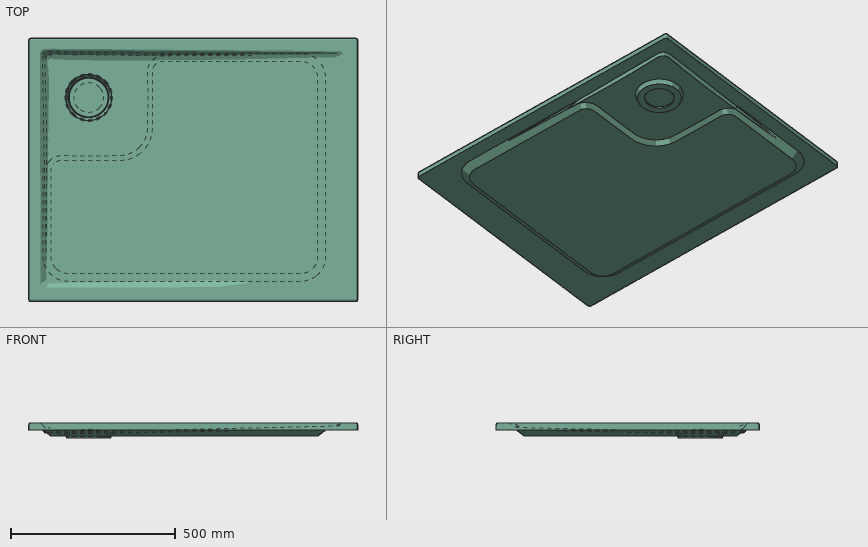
import cadquery as cq
import math


TRAY_LENGTH = 1000.29
TRAY_WIDTH = 800.36
RIM_HEIGHT = 22.5
RIM_EDGE_RADIUS = 8.0

DRAIN_TO_LEFT_EDGE = 182.5
DRAIN_TO_BACK_EDGE = 180.0
DRAIN_X = -TRAY_LENGTH / 2 + DRAIN_TO_LEFT_EDGE
DRAIN_Y = TRAY_WIDTH / 2 - DRAIN_TO_BACK_EDGE
OVERALL_HEIGHT = 47.0
DRAIN_HOLE_DIAMETER = 90.0
RECESS_TOP_DIAMETER = 140.0
RECESS_FLOOR_DIAMETER = 122.0
RECESS_FLOOR_THICKNESS = 5.0
FOOT_TOP_DIAMETER = 150.0
FOOT_BOTTOM_DIAMETER = 133.0

FLOOR_DEPTH_AT_DRAIN = 27.0
FLOOR_SLOPE = 0.0225
FLOOR_THICKNESS = 7.0
FLOOR_CONE_RADIUS = 1200.0
WALL_CORNER_RADIUS = 22.0
FLOOR_FILLET_RADIUS = 22.0
LIP_RADIUS = 8.0
BASIN_SHELL_MARGIN = 14.0
LOFT_DEPTH = 40.0

RIM_OUTER_BORDER = 20.0
FLOOR_SEAM_BORDER = 100.0

OPENING_CORNERS = [
    (-464.0, -360.5),
    (455.0, -356.5),
    (458.5, 358.5),
    (-464.0, 364.5),
]

FLOOR_LEFT = -444.0
FLOOR_RIGHT = 443.0
FLOOR_FRONT = -341.0
FLOOR_BACK = 346.0
FLOOR_CORNERS = [
    (FLOOR_LEFT, FLOOR_FRONT),
    (FLOOR_RIGHT, FLOOR_FRONT),
    (FLOOR_RIGHT, FLOOR_BACK),
    (FLOOR_LEFT, FLOOR_BACK),
]

COVER_DIAMETER = 118.0
COVER_EDGE_DEPTH = 27.0
COVER_CROWN_DEPTH = 20.0

BOARD_LEFT = -456.0
BOARD_RIGHT = 402.0
BOARD_FRONT = -338.0
BOARD_BACK = 354.0
BOARD_BOTTOM_DEPTH = 40.5
BOARD_SIDE_INSET = 24.0
BOARD_CORNER_RADIUS = 75.0
BOARD_NOTCH_X = -148.0
BOARD_NOTCH_Y = 53.0
BOARD_NOTCH_RADIUS = 55.0

recess_floor_z = RECESS_FLOOR_THICKNESS - OVERALL_HEIGHT
recess_rim_z = FLOOR_SLOPE * RECESS_TOP_DIAMETER / 2 - FLOOR_DEPTH_AT_DRAIN


def frustum(bottom_diameter, bottom_z, top_diameter, top_z):
    """Frustum on the drain axis."""
    profile = (
        cq.Workplane("XZ")
        .moveTo(0, bottom_z)
        .lineTo(bottom_diameter / 2, bottom_z)
        .lineTo(top_diameter / 2, top_z)
        .lineTo(0, top_z)
        .close()
    )
    return profile.revolve(360, (0, 0, 0), (0, 1, 0)).translate((DRAIN_X, DRAIN_Y, 0))


def space_above_floor(drain_depth):
    """Everything above a shallow cone that is `drain_depth` deep on the drain axis."""
    edge_z = FLOOR_CONE_RADIUS * FLOOR_SLOPE - drain_depth
    top_z = edge_z + LOFT_DEPTH
    profile = (
        cq.Workplane("YZ")
        .moveTo(0, -drain_depth)
        .lineTo(-FLOOR_CONE_RADIUS, edge_z)
        .lineTo(-FLOOR_CONE_RADIUS, top_z)
        .lineTo(0, top_z)
        .close()
    )
    return profile.revolve(360, (0, 0, 0), (0, 1, 0)).translate((DRAIN_X, DRAIN_Y, 0))


def floor_depth(x, y):
    """Depth of the conical floor below the rim top."""
    return FLOOR_DEPTH_AT_DRAIN - FLOOR_SLOPE * math.hypot(x - DRAIN_X, y - DRAIN_Y)


def moved_outwards(corners, margin):
    """Corners moved away from the tray centre by `margin` along both X and Y."""
    return [(x + math.copysign(margin, x), y + math.copysign(margin, y)) for x, y in corners]


def corners_at_loft_bottom():
    """The sloping corner lines from the opening to the floor, continued down to LOFT_DEPTH."""
    corners = []
    for (opening_x, opening_y), (floor_x, floor_y) in zip(OPENING_CORNERS, FLOOR_CORNERS):
        stretch = LOFT_DEPTH / floor_depth(floor_x, floor_y)
        x = opening_x + (floor_x - opening_x) * stretch
        y = opening_y + (floor_y - opening_y) * stretch
        corners.append((x, y))
    return corners


def basin_prism(margin, corner_radius):
    """Tapered block with the walls of the basin, `margin` outside them, with its top at z = 0."""
    prism = (
        cq.Workplane("XY")
        .workplane(offset=-LOFT_DEPTH)
        .polyline(moved_outwards(corners_at_loft_bottom(), margin))
        .close()
        .workplane(offset=LOFT_DEPTH)
        .polyline(moved_outwards(OPENING_CORNERS, margin))
        .close()
        .loft(ruled=True)
    )
    return prism.edges("not(<Z or >Z)").fillet(corner_radius)


def make_floor_shell():
    """Solid block down to the underside of the floor; the basin is cut out of it later."""
    floor_underside = space_above_floor(FLOOR_DEPTH_AT_DRAIN + FLOOR_THICKNESS)
    block = basin_prism(BASIN_SHELL_MARGIN, WALL_CORNER_RADIUS + BASIN_SHELL_MARGIN)
    return block.intersect(floor_underside)


def central_box(border):
    """Selector for whatever has its centre further than `border` inside the tray outline."""
    half_length = TRAY_LENGTH / 2 - border
    half_width = TRAY_WIDTH / 2 - border
    return cq.selectors.BoxSelector(
        (-half_length, -half_width, -OVERALL_HEIGHT), (half_length, half_width, OVERALL_HEIGHT)
    )


def make_rim():
    """Solid slab with rounded corners and a rounded top edge."""
    slab = cq.Workplane("XY").box(TRAY_LENGTH, TRAY_WIDTH, RIM_HEIGHT, centered=(True, True, False))
    return slab.translate((0, 0, -RIM_HEIGHT)).edges("|Z or >Z").fillet(RIM_EDGE_RADIUS)


def make_basin():
    """The hollow of the tray, with a rounded edge between floor and walls."""
    basin = basin_prism(0, WALL_CORNER_RADIUS).intersect(space_above_floor(FLOOR_DEPTH_AT_DRAIN))
    floor_outline = cq.selectors.InverseSelector(central_box(FLOOR_SEAM_BORDER))
    return basin.faces("<Z").edges(floor_outline).fillet(FLOOR_FILLET_RADIUS)


def make_tray(floor_shell):
    foot = frustum(FOOT_BOTTOM_DIAMETER, -OVERALL_HEIGHT, FOOT_TOP_DIAMETER, -FLOOR_DEPTH_AT_DRAIN)
    tray = make_rim().union(floor_shell).union(foot).cut(make_basin())
    tray = tray.faces(">Z").edges(central_box(RIM_OUTER_BORDER)).fillet(LIP_RADIUS)

    recess = frustum(RECESS_FLOOR_DIAMETER, recess_floor_z, RECESS_TOP_DIAMETER, recess_rim_z)
    drain_hole = frustum(DRAIN_HOLE_DIAMETER, -OVERALL_HEIGHT, DRAIN_HOLE_DIAMETER, recess_floor_z)
    return tray.cut(recess).cut(drain_hole)


def make_cover():
    """Domed disc that stands on the recess floor and closes the drain hole."""
    radius = COVER_DIAMETER / 2
    rise = COVER_EDGE_DEPTH - COVER_CROWN_DEPTH
    dome_radius = (radius**2 + rise**2) / (2 * rise)
    half_angle = math.asin(radius / dome_radius) / 2
    arc_middle_x = dome_radius * math.sin(half_angle)
    arc_middle_z = -COVER_CROWN_DEPTH - dome_radius * (1 - math.cos(half_angle))
    profile = (
        cq.Workplane("XZ")
        .moveTo(0, recess_floor_z)
        .lineTo(radius, recess_floor_z)
        .lineTo(radius, -COVER_EDGE_DEPTH)
        .threePointArc((arc_middle_x, arc_middle_z), (0, -COVER_CROWN_DEPTH))
        .close()
    )
    return profile.revolve(360, (0, 0, 0), (0, 1, 0)).translate((DRAIN_X, DRAIN_Y, 0))


def board_outline(inset, z):
    """Rounded outline, `inset` inside the board edge, with a notch around the drain at the back left."""
    corner = BOARD_CORNER_RADIUS - inset
    notch_end = BOARD_NOTCH_RADIUS - inset
    notch_corner = BOARD_CORNER_RADIUS + inset
    left = BOARD_LEFT + inset
    right = BOARD_RIGHT - inset
    front = BOARD_FRONT + inset
    back = BOARD_BACK - inset
    notch_x = BOARD_NOTCH_X + inset
    notch_y = BOARD_NOTCH_Y - inset
    return (
        cq.Workplane("XY", origin=(0, 0, z))
        .moveTo(left + corner, front)
        .lineTo(right - corner, front)
        .radiusArc((right, front + corner), -corner)
        .lineTo(right, back - corner)
        .radiusArc((right - corner, back), -corner)
        .lineTo(notch_x + notch_end, back)
        .radiusArc((notch_x, back - notch_end), -notch_end)
        .lineTo(notch_x, notch_y + notch_corner)
        .radiusArc((notch_x - notch_corner, notch_y), notch_corner)
        .lineTo(left + notch_end, notch_y)
        .radiusArc((left, notch_y - notch_end), -notch_end)
        .lineTo(left, front + corner)
        .radiusArc((left + corner, front), -corner)
        .close()
    )


def make_board(floor_shell):
    """Board with inward sloping sides, hollowed to take the underside of the floor."""
    top = board_outline(0, -RIM_HEIGHT).val()
    bottom = board_outline(BOARD_SIDE_INSET, -BOARD_BOTTOM_DEPTH).val()
    board = cq.Workplane(cq.Solid.makeLoft([bottom, top], True))
    return board.cut(floor_shell)


floor_shell = make_floor_shell()
tray = make_tray(floor_shell)
cover = make_cover()
board = make_board(floor_shell)
result = cq.Compound.makeCompound([tray.val(), cover.val(), board.val()])